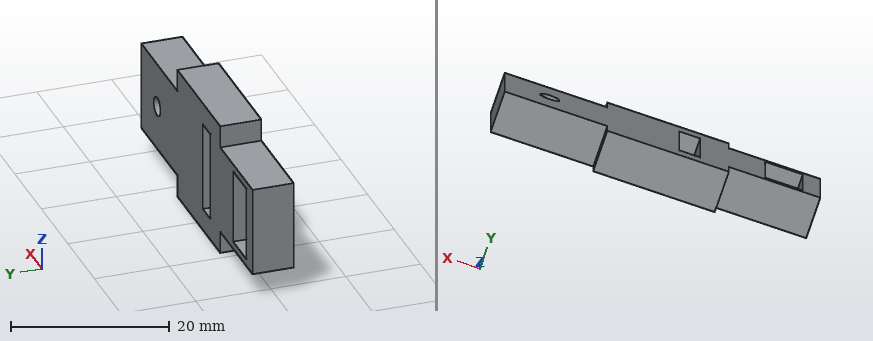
import cadquery as cq

length = 42.0
thickness = 5.5
bar_height = 12.0
left_end = -length / 2

block_height = 18.0
block_start = 12.2
block_length = 16.15

window_start = 2.35
window_length = 5.0
window_height = 10.0
slot_start = 16.0
slot_length = 2.77
slot_height = bar_height
hole_center = 36.0
hole_diameter = 2.5


def centered_block(start, size_x, size_z):
    """Full-thickness block, centered in Y and Z, starting at a distance from the left end."""
    center_x = left_end + start + size_x / 2
    return cq.Workplane("XY").box(size_x, thickness, size_z).translate((center_x, 0, 0))


body = centered_block(0, length, bar_height)
body = body.union(centered_block(block_start, block_length, block_height))

body = body.cut(centered_block(window_start, window_length, window_height))
body = body.cut(centered_block(slot_start, slot_length, slot_height))

hole = (
    cq.Workplane("XZ")
    .center(left_end + hole_center, 0)
    .circle(hole_diameter / 2)
    .extrude(thickness / 2, both=True)
)
result = body.cut(hole)